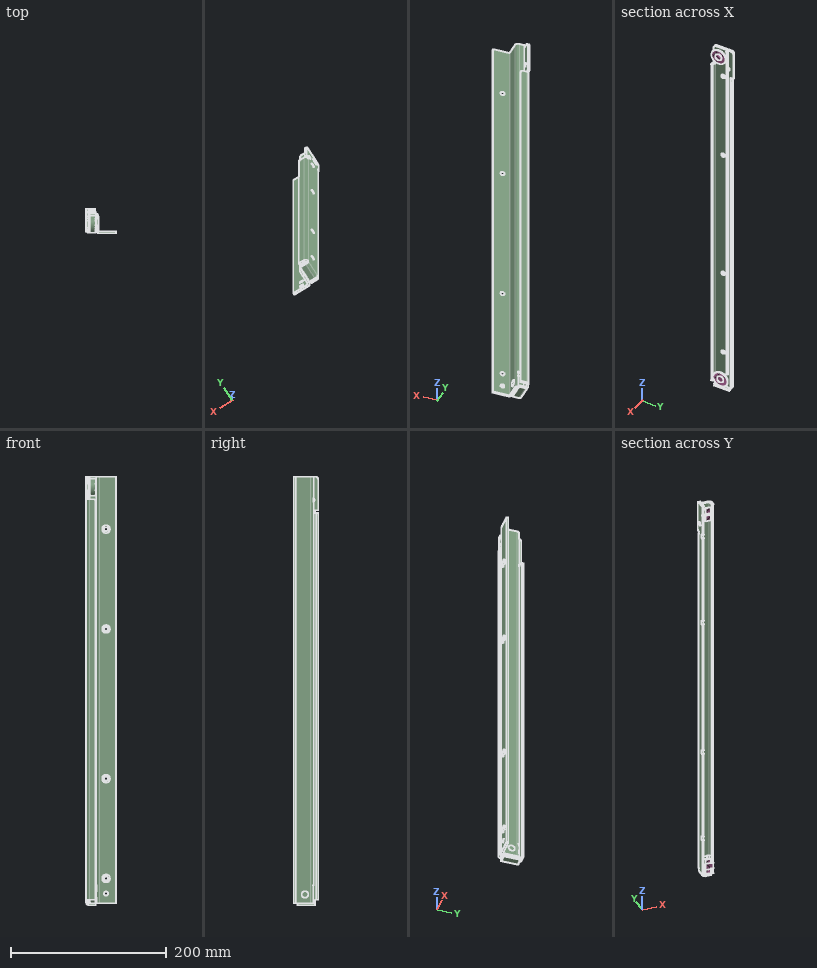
import cadquery as cq

slide_length = 550.0
slide_height = 31.75
slide_width = 38.5

sheet = 2.75

cabinet_front = 0.6
cabinet_width = 12.0
cabinet_bend = 4.2
flange_corner_radius = 2.5
flange_bottom = 7.0
front_flange_top = slide_length - 29.0
back_flange_top = slide_length - 46.5
tab_front = 2.2
tab_bottom = slide_length - 43.5
tab_corner_radius = 4.0
lip_width = 12.7
wall_y = (cabinet_front + cabinet_bend, slide_height - cabinet_bend)

roller_radius = 10.9
roller_x = (4.6, 12.4)
roller_edge_radius = 0.8
roller_clearance = 0.2
axle_radius = 4.3
front_roller_y = 11.7
front_roller_z = slide_length - 13.4
rear_roller_y = cabinet_front + sheet + roller_clearance + roller_radius
rear_roller_z = 14.0

drawer_bottom = 2.5
drawer_wall_x = 13.3
drawer_lower_bend = 3.4
drawer_upper_bend = 4.2
running_flange_x = 4.5
running_flange_y = front_roller_y + roller_radius + roller_clearance
running_flange_bottom = rear_roller_z + roller_radius + 1.0
drawer_height = running_flange_y + sheet

hole_pitches = (0.0, 128.0, 320.0, 448.0)
wall_hole_radius = 2.7
wall_hole_y = 16.7
first_wall_hole_z = 57.0
latch_hole_radius = 2.4
latch_hole_y = 24.2
latch_hole_z = slide_length - 30.0
flange_hole_radius = 2.5
countersink_radius = 5.1
flange_hole_x = 25.7
first_flange_hole_z = 34.5
locating_hole_radius = 2.5
locating_hole_z = 15.0


def extrude_section(points, bottom, top):
    return cq.Workplane("XY", origin=(0, 0, bottom)).polyline(points).close().extrude(top - bottom)


def round_bend(body, x, y, radius):
    """Round the lengthwise edge that passes through (x, y)."""
    reach = 0.1
    low = (x - reach, y - reach, 0)
    high = (x + reach, y + reach, slide_length)
    return body.edges("|Z").edges(cq.selectors.BoxSelector(low, high)).fillet(radius)


def box(x, y, z):
    size = (x[1] - x[0], y[1] - y[0], z[1] - z[0])
    return cq.Workplane("XY", origin=(x[0], y[0], z[0])).box(*size, centered=False)


def cylinder_along_x(x, y, z, radius):
    return cq.Workplane("YZ", origin=(x[0], y, z)).circle(radius).extrude(x[1] - x[0])


def make_angle(outer_y, direction, top):
    """One side of the C section: a flange and the wall up to mid height."""
    inner_y = outer_y + direction * sheet
    middle_y = slide_height / 2
    points = [
        (0, middle_y),
        (0, outer_y),
        (cabinet_width, outer_y),
        (cabinet_width, inner_y),
        (sheet, inner_y),
        (sheet, middle_y),
    ]
    angle = extrude_section(points, flange_bottom, top)
    angle = angle.edges("|Y and >X and >Z").fillet(flange_corner_radius)
    angle = round_bend(angle, 0, outer_y, cabinet_bend)
    return round_bend(angle, sheet, inner_y, cabinet_bend - sheet)


def make_stop_lip():
    lip = box((0, lip_width), wall_y, (0, flange_bottom))
    lip = lip.cut(box((sheet, lip_width), wall_y, (sheet, flange_bottom)))
    return lip.edges("|Y and <X and <Z").fillet(cabinet_bend)


def make_cabinet_rail():
    wall_x = (0, sheet)
    tab = box(wall_x, (tab_front, slide_height), (tab_bottom, slide_length))
    tab = tab.edges("|X and >Z").fillet(tab_corner_radius)
    tab = tab.cut(box(wall_x, (0, wall_y[0]), (tab_bottom, front_flange_top)))

    rail = box(wall_x, wall_y, (flange_bottom, tab_bottom))
    rail = rail.union(make_angle(cabinet_front, 1, front_flange_top))
    rail = rail.union(make_angle(slide_height, -1, back_flange_top))
    rail = rail.union(tab).union(make_stop_lip())

    for pitch in hole_pitches:
        z = first_wall_hole_z + pitch
        rail = rail.cut(cylinder_along_x(wall_x, wall_hole_y, z, wall_hole_radius))
    rail = rail.cut(cylinder_along_x(wall_x, latch_hole_y, latch_hole_z, latch_hole_radius))
    return rail.cut(cylinder_along_x(wall_x, front_roller_y, front_roller_z, axle_radius))


def make_drawer_rail():
    near_x = drawer_wall_x
    far_x = drawer_wall_x + sheet
    points = [
        (near_x, 0),
        (slide_width, 0),
        (slide_width, sheet),
        (far_x, sheet),
        (far_x, drawer_height),
        (running_flange_x, drawer_height),
        (running_flange_x, running_flange_y),
        (near_x, running_flange_y),
    ]
    rail = extrude_section(points, drawer_bottom, slide_length)
    rail = round_bend(rail, near_x, 0, drawer_lower_bend)
    rail = round_bend(rail, far_x, sheet, drawer_lower_bend - sheet)
    rail = round_bend(rail, far_x, drawer_height, drawer_upper_bend)
    rail = round_bend(rail, near_x, running_flange_y, drawer_upper_bend - sheet)

    rail = rail.cut(box((0, near_x), (0, slide_height), (0, running_flange_bottom)))

    for pitch in hole_pitches:
        corner = cq.Vector(flange_hole_x, 0, first_flange_hole_z + pitch)
        countersink = cq.Solid.makeCone(
            countersink_radius, flange_hole_radius, sheet, corner, cq.Vector(0, 1, 0)
        )
        rail = rail.cut(cq.Workplane(countersink))
    locating_hole = (
        cq.Workplane("XZ")
        .center(flange_hole_x, locating_hole_z)
        .circle(locating_hole_radius)
        .extrude(-sheet)
    )
    rail = rail.cut(locating_hole)
    return rail.cut(cylinder_along_x((near_x, far_x), rear_roller_y, rear_roller_z, axle_radius))


def make_roller(y, z):
    roller = cylinder_along_x(roller_x, y, z, roller_radius).edges().fillet(roller_edge_radius)
    return roller.cut(cylinder_along_x(roller_x, y, z, axle_radius))


def make_axle(x, y, z):
    return cylinder_along_x(x, y, z, axle_radius)


cabinet_rail = make_cabinet_rail()
drawer_rail = make_drawer_rail()

front_axle_x = (0, roller_x[1])
rear_axle_x = (roller_x[0], drawer_wall_x + sheet)
roller_bodies = []
for axle_x, y, z in (
    (front_axle_x, front_roller_y, front_roller_z),
    (rear_axle_x, rear_roller_y, rear_roller_z),
):
    roller_bodies.append(make_roller(y, z).val())
    roller_bodies.append(make_axle(axle_x, y, z).val())

result = cq.Compound.makeCompound([cabinet_rail.val(), drawer_rail.val(), *roller_bodies])